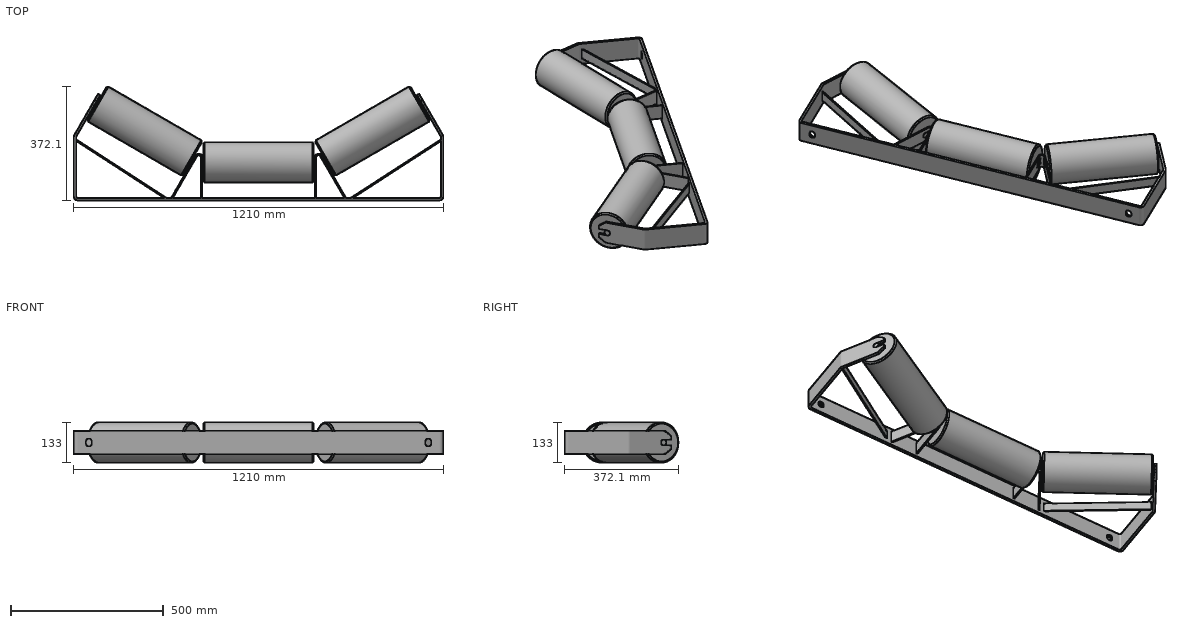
import cadquery as cq
import math


frame_length = 1210.0
strip_width = 76.0
frame_thickness = 8.0
bend_radius = 13.0
trough_angle = 30.0

roller_diameter = 133.0
roller_length = 360.0
roller_chamfer = 5.0
shaft_diameter = 19.0
roller_gap = 4.2
centre_roller_y = 125.0
side_roller_x = 373.0
side_roller_y = 227.0

slot_depth = 29.0
tip_chamfer_along = 23.0
tip_chamfer_across = 17.0

mount_hole_inset = 50.0
mount_hole_width = 19.0
mount_hole_height = 25.0

bracket_thickness = 5.0
bracket_width = 50.0
bracket_top_y = 152.0
bracket_bend_radius = 10.0

brace_thickness = 4.2
brace_width = 35.0
brace_leg_y = 200.0
brace_base_x = 301.0

half_length = frame_length / 2
half_roller = roller_length / 2
support_offset = half_roller + roller_gap
sin_tilt = math.sin(math.radians(trough_angle))
cos_tilt = math.cos(math.radians(trough_angle))
tan_tilt = sin_tilt / cos_tilt
tan_half_tilt = math.tan(math.radians(trough_angle / 2))

arm_face_offset = support_offset + frame_thickness
arm_axis_x = side_roller_x + arm_face_offset * cos_tilt
arm_axis_y = side_roller_y + arm_face_offset * sin_tilt
tip_x = arm_axis_x - slot_depth * sin_tilt
tip_y = arm_axis_y + slot_depth * cos_tilt
knee_y = arm_axis_y - (half_length - arm_axis_x) / tan_tilt


def mirrored(body):
    """Matching body on the opposite side of X = 0."""
    return body.mirror("YZ")


def tilted(body):
    """Move a body built about the origin along X to the +X side roller position."""
    return body.rotate((0, 0, 0), (0, 0, 1), trough_angle).translate((side_roller_x, side_roller_y, 0))


def extruded(points, width):
    """Closed XY outline extruded symmetrically about Z = 0."""
    return cq.Workplane("XY").polyline(points).close().extrude(width / 2, both=True)


def round_corner(body, x, y, radius):
    """Fillet the Z-parallel edge that stands at (x, y)."""
    return body.edges(cq.selectors.NearestToPointSelector((x, y, 0))).fillet(radius)


def shaft_slot(x_start, length, depth):
    """Cutter for a round-bottomed slot open towards +Y; the shaft axis is the X axis."""
    bottom = cq.Workplane("YZ").circle(shaft_diameter / 2).extrude(length)
    opening = cq.Workplane("XY").box(length, depth, shaft_diameter, centered=(False, False, True))
    return bottom.union(opening).translate((x_start, 0, 0))


def frame_side_points(inset):
    """Knee and corner of the +X side, moved inwards by the given inset."""
    knee = (half_length - inset, knee_y - inset * tan_half_tilt)
    corner = (half_length - inset, inset)
    return knee, corner


def make_frame():
    knee, corner = frame_side_points(0)
    inner_knee, inner_corner = frame_side_points(frame_thickness)
    tip = (tip_x, tip_y)
    inner_tip = (tip_x - frame_thickness * cos_tilt, tip_y - frame_thickness * sin_tilt)
    right = [inner_corner, inner_knee, inner_tip, tip, knee, corner]
    left = [(-x, y) for x, y in reversed(right)]
    frame = extruded(right + left, strip_width)

    inner_bend_radius = bend_radius - frame_thickness
    for side in (-1, 1):
        for x, y in (knee, corner):
            frame = round_corner(frame, side * x, y, bend_radius)
        for x, y in (inner_knee, inner_corner):
            frame = round_corner(frame, side * x, y, inner_bend_radius)

    bevel = (
        cq.Workplane("YZ")
        .polyline([
            (slot_depth - tip_chamfer_along, strip_width / 2),
            (slot_depth, strip_width / 2 - tip_chamfer_across),
            (slot_depth, strip_width / 2),
        ])
        .close()
        .extrude(frame_thickness)
        .translate((support_offset, 0, 0))
    )
    tip_cutter = shaft_slot(support_offset, frame_thickness, slot_depth)
    tip_cutter = tip_cutter.union(bevel).union(bevel.mirror("XY"))
    tip_cutter = tilted(tip_cutter)
    frame = frame.cut(tip_cutter).cut(mirrored(tip_cutter))

    hole_x = half_length - mount_hole_inset
    holes = (
        cq.Workplane("XZ")
        .pushPoints([(-hole_x, 0), (hole_x, 0)])
        .slot2D(mount_hole_height, mount_hole_width, 90)
        .extrude(-frame_thickness)
    )
    return frame.cut(holes)


def make_roller(left_support, right_support):
    """Roller along X about the origin; its shaft ends flush with supports of the given thicknesses."""
    drum = (
        cq.Workplane("YZ", origin=(-half_roller, 0, 0))
        .circle(roller_diameter / 2)
        .extrude(roller_length)
        .edges()
        .chamfer(roller_chamfer)
    )
    shaft_length = 2 * support_offset + left_support + right_support
    shaft = (
        cq.Workplane("YZ", origin=(-support_offset - left_support, 0, 0))
        .circle(shaft_diameter / 2)
        .extrude(shaft_length)
    )
    return drum.union(shaft)


def make_bracket():
    def tilted_face_x(y, offset):
        """X of a plane square to the side roller axis, offset inwards from the roller middle."""
        return side_roller_x - (offset + (y - side_roller_y) * sin_tilt) / cos_tilt

    bottom_y = frame_thickness
    inner_top_y = bracket_top_y - bracket_thickness
    inner_offset = support_offset + bracket_thickness
    outer_left = (support_offset, bracket_top_y)
    outer_right = (tilted_face_x(bracket_top_y, support_offset), bracket_top_y)
    inner_right = (tilted_face_x(inner_top_y, inner_offset), inner_top_y)
    inner_left = (inner_offset, inner_top_y)
    bracket = extruded(
        [
            (support_offset, bottom_y),
            outer_left,
            outer_right,
            (tilted_face_x(bottom_y, support_offset), bottom_y),
            (tilted_face_x(bottom_y, inner_offset), bottom_y),
            inner_right,
            inner_left,
            (inner_offset, bottom_y),
        ],
        bracket_width,
    )
    inner_bend_radius = bracket_bend_radius - bracket_thickness
    for corners, radius in (
        ((outer_left, outer_right), bracket_bend_radius),
        ((inner_left, inner_right), inner_bend_radius),
    ):
        for x, y in corners:
            bracket = round_corner(bracket, x, y, radius)

    slot_height = bracket_top_y - centre_roller_y
    centre_slot = shaft_slot(support_offset, bracket_thickness, slot_height).translate((0, centre_roller_y, 0))
    side_slot = tilted(shaft_slot(-inner_offset, bracket_thickness, slot_height))
    return bracket.cut(centre_slot).cut(side_slot)


def make_brace():
    leg_x = half_length - frame_thickness
    rise = brace_leg_y - frame_thickness
    run = leg_x - brace_base_x
    slant = math.hypot(rise, run)
    return extruded(
        [
            (brace_base_x, frame_thickness),
            (leg_x, brace_leg_y),
            (leg_x, brace_leg_y - brace_thickness * slant / run),
            (brace_base_x + brace_thickness * slant / rise, frame_thickness),
        ],
        brace_width,
    )


frame = make_frame()
centre_roller = make_roller(bracket_thickness, bracket_thickness).translate((0, centre_roller_y, 0))
right_parts = [tilted(make_roller(bracket_thickness, frame_thickness)), make_bracket(), make_brace()]
side_parts = []
for part in right_parts:
    side_parts += [part.val(), mirrored(part).val()]

result = cq.Compound.makeCompound([frame.val(), centre_roller.val(), *side_parts])